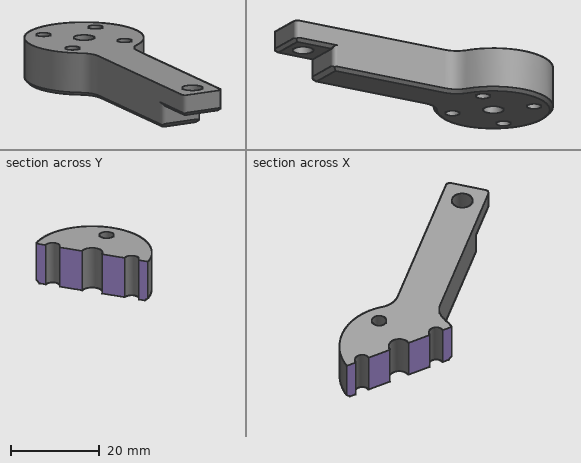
import cadquery as cq
import math

THICKNESS = 10.0
TAB_THICKNESS = 4.9

HUB_RADIUS = 13.5
HUB_HOLE_DIAMETER = 4.7
BOLT_HOLE_DIAMETER = 3.3
BOLT_CIRCLE_RADIUS = 9.5
BOLT_COUNT = 4

ARM_ANGLE = -45.0
ARM_WIDTH = 10.0
ARM_STEP_LENGTH = 45.0
TAB_END_LENGTH = 54.86
TAB_HOLE_DISTANCE = 50.0
TAB_HOLE_DIAMETER = 4.7

NECK_RADIUS = 5.0
CORNER_RADIUS = 1.0
BOTTOM_CHAMFER = 0.8
STEP_END_CHAMFER = 1.0

HALF_WIDTH = ARM_WIDTH / 2
TAB_BOTTOM = THICKNESS - TAB_THICKNESS


def round_end_corners(prism):
    """Round the vertical corners at the outer end; intersecting keeps the chamfers mitred."""
    return prism.edges("|Z and >X").fillet(CORNER_RADIUS)


def full_height_body():
    """Hub and arm up to the step, as one keyhole outline along +X."""
    neck_y = HALF_WIDTH + NECK_RADIUS
    neck_x = math.sqrt((HUB_RADIUS + NECK_RADIUS) ** 2 - neck_y**2)
    hub_share = HUB_RADIUS / (HUB_RADIUS + NECK_RADIUS)
    hub_tangent_x = neck_x * hub_share
    hub_tangent_y = neck_y * hub_share

    hub_direction = math.atan2(-neck_y, -neck_x)
    arm_direction = -math.pi / 2
    middle_direction = (hub_direction + arm_direction) / 2
    middle_x = neck_x + NECK_RADIUS * math.cos(middle_direction)
    middle_y = neck_y + NECK_RADIUS * math.sin(middle_direction)

    body = (
        cq.Workplane("XY")
        .moveTo(hub_tangent_x, hub_tangent_y)
        .threePointArc((-HUB_RADIUS, 0), (hub_tangent_x, -hub_tangent_y))
        .threePointArc((middle_x, -middle_y), (neck_x, -HALF_WIDTH))
        .lineTo(ARM_STEP_LENGTH, -HALF_WIDTH)
        .lineTo(ARM_STEP_LENGTH, HALF_WIDTH)
        .lineTo(neck_x, HALF_WIDTH)
        .threePointArc((middle_x, middle_y), (hub_tangent_x, hub_tangent_y))
        .close()
        .extrude(THICKNESS)
    )
    chamfered = body.faces("<Z").edges("not >X").chamfer(BOTTOM_CHAMFER)
    chamfered = chamfered.faces("<Z").edges(">X").chamfer(STEP_END_CHAMFER)
    return chamfered.intersect(round_end_corners(body))


def end_tab():
    """Thin tab at the top of the arm, reaching back over the step's rounded corners."""
    tab_start = ARM_STEP_LENGTH - CORNER_RADIUS
    tab = (
        cq.Workplane("XY", origin=(tab_start, 0, TAB_BOTTOM))
        .rect(TAB_END_LENGTH - tab_start, ARM_WIDTH)
        .extrude(TAB_THICKNESS)
        .translate(((TAB_END_LENGTH - tab_start) / 2, 0, 0))
    )
    chamfered = tab.faces("<Z").edges("not <X").chamfer(BOTTOM_CHAMFER)
    return chamfered.intersect(round_end_corners(tab))


def through_holes(diameter, points):
    """Full-height cutting cylinders at the given points."""
    return cq.Workplane("XY").pushPoints(points).circle(diameter / 2).extrude(THICKNESS)


def hub_bolt_holes():
    """Bolt holes lying on the X and Y axes of the part."""
    points = []
    for index in range(BOLT_COUNT):
        angle = 2 * math.pi * index / BOLT_COUNT
        points.append((BOLT_CIRCLE_RADIUS * math.cos(angle), BOLT_CIRCLE_RADIUS * math.sin(angle)))
    return through_holes(BOLT_HOLE_DIAMETER, points)


lever = full_height_body().union(end_tab())
lever = lever.cut(through_holes(HUB_HOLE_DIAMETER, [(0, 0)]))
lever = lever.cut(through_holes(TAB_HOLE_DIAMETER, [(TAB_HOLE_DISTANCE, 0)]))
lever = lever.rotate((0, 0, 0), (0, 0, 1), ARM_ANGLE)
result = lever.cut(hub_bolt_holes())